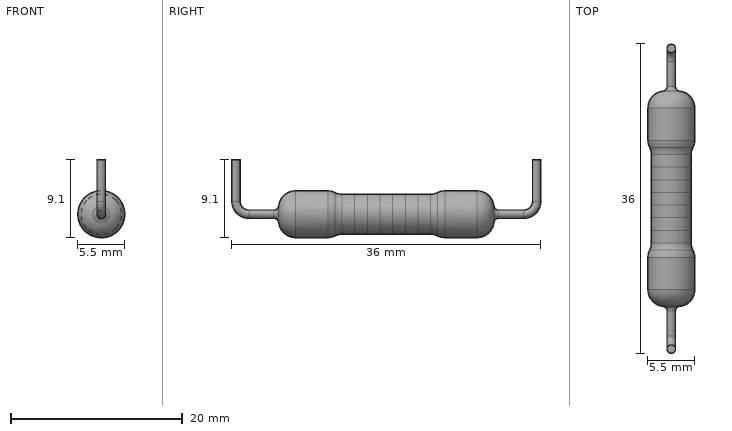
import cadquery as cq
import math

overall_length = 36.0
overall_height = 9.1
cap_diameter = 5.5
waist_diameter = 4.68
lead_diameter = 1.0
bend_radius = 1.5

dome_radius = 2.0
collar_radius = 0.5
dome_start = 10.55
shoulder_end = 6.8
band_count = 7
bands_end = 5.15

cap_radius = cap_diameter / 2
waist_radius = waist_diameter / 2
lead_radius = lead_diameter / 2

dome_centre_r = cap_radius - dome_radius
collar_centre_r = lead_radius + collar_radius
blend_distance = dome_radius + collar_radius
blend_angle = math.asin((collar_centre_r - dome_centre_r) / blend_distance)
collar_y = dome_start + blend_distance * math.cos(blend_angle)
blend_point = (
    dome_centre_r + dome_radius * math.sin(blend_angle),
    dome_start + dome_radius * math.cos(blend_angle),
)

shoulder_middle = ((cap_radius + waist_radius) / 2, (shoulder_end + bands_end) / 2)


def mirrored(point):
    """Reflect a (radius, y) point to the other end of the body."""
    return (point[0], -point[1])


def make_body():
    """Revolve the half outline; each color band keeps its own face."""
    arc_mid_angle = (blend_angle + math.pi / 2) / 2
    dome_middle = (
        dome_centre_r + dome_radius * math.sin(arc_mid_angle),
        dome_start + dome_radius * math.cos(arc_mid_angle),
    )
    collar_middle = (
        collar_centre_r - collar_radius * math.sin(arc_mid_angle),
        collar_y - collar_radius * math.cos(arc_mid_angle),
    )
    profile = (
        cq.Workplane("XY")
        .moveTo(0, -collar_y)
        .lineTo(lead_radius, -collar_y)
        .threePointArc(mirrored(collar_middle), mirrored(blend_point))
        .threePointArc(mirrored(dome_middle), (cap_radius, -dome_start))
        .lineTo(cap_radius, -shoulder_end)
        .tangentArcPoint(mirrored(shoulder_middle), relative=False)
        .tangentArcPoint((waist_radius, -bands_end), relative=False)
    )
    band_width = 2 * bands_end / band_count
    for band in range(1, band_count + 1):
        profile = profile.lineTo(waist_radius, -bands_end + band * band_width)
    profile = (
        profile.tangentArcPoint(shoulder_middle, relative=False)
        .tangentArcPoint((cap_radius, shoulder_end), relative=False)
        .lineTo(cap_radius, dome_start)
        .threePointArc(dome_middle, blend_point)
        .threePointArc(collar_middle, (lead_radius, collar_y))
        .lineTo(0, collar_y)
        .close()
    )
    return profile.revolve(360, (0, 0, 0), (0, 1, 0), clean=False)


def make_lead():
    """Sweep the wire from the +Y end of the body outward, then up."""
    leg_y = overall_length / 2 - lead_radius
    leg_top = overall_height - cap_radius
    path = (
        cq.Workplane("YZ")
        .moveTo(collar_y, 0)
        .lineTo(leg_y - bend_radius, 0)
        .tangentArcPoint((leg_y, bend_radius), relative=False)
        .lineTo(leg_y, leg_top)
    )
    section = cq.Workplane("XZ", origin=(0, collar_y, 0)).circle(lead_radius)
    return section.sweep(path)


lead = make_lead()
result = make_body().union(lead, clean=False).union(lead.mirror("XZ"), clean=False)